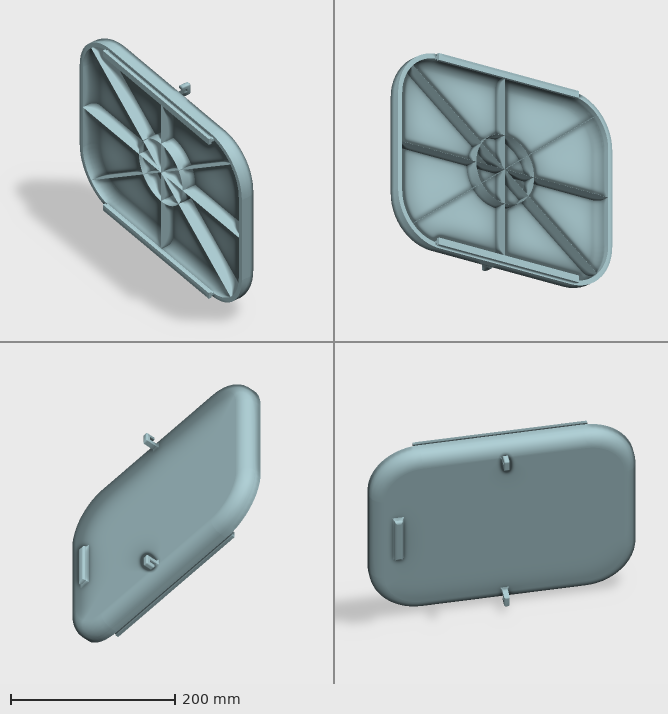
import cadquery as cq


WIDTH = 330.2
HEIGHT = 252.0
DEPTH = 25.5
WALL = 6.3
CORNER_RADIUS = 63.5
BACK_RADIUS = 16.2

RIB_THICKNESS = 0.1
RIB_ANGLES = (0, 36, 90, 144)
RING_RADIUS = 44.5

RAIL_LENGTH = 216.0
RAIL_STEM_LENGTH = 3.5
RAIL_STEM_THICKNESS = 4.0
RAIL_HEAD_THICKNESS = 4.0
RAIL_HEAD_HEIGHT = 9.0
RAIL_INSET = 6.0

HOOK_WIDTH = 7.0
HOOK_BAR = 5.0
HOOK_GAP = 5.0
HOOK_LIP = 13.0
HOOK_REACH = 17.8
HOOK_INSET = 6.3
HOOK_ROUNDING = 2.0

PAD_X = 131.7
PAD_WIDTH = 10.0
PAD_HEIGHT = 62.7
PAD_DEPTH = 7.0
PAD_ROUNDING = 3.3

HOOK_FLARE = 2.0
PAD_FLARE = 2.5
FOOT_SINK = 0.5


def box_between(x_range, y_range, z_range):
    """Axis-aligned box spanning the given (low, high) ranges."""
    sizes = [high - low for low, high in (x_range, y_range, z_range)]
    lows = (x_range[0], y_range[0], z_range[0])
    return cq.Workplane("XY").box(*sizes, centered=False).translate(lows)


def rounded_dish(inset):
    """Solid dish set in from the outer surface by the given distance on the sides and back."""
    return (
        cq.Workplane("XZ")
        .rect(WIDTH - 2 * inset, HEIGHT - 2 * inset)
        .extrude(-(DEPTH - inset))
        .edges("|Y")
        .fillet(CORNER_RADIUS - inset)
        .faces(">Y")
        .edges()
        .fillet(BACK_RADIUS - inset)
    )


def stiffeners(cavity):
    """Crossing ribs and a central ring, as deep as the cavity and flush with the rim."""
    ribs = (
        cq.Workplane("XZ")
        .circle(RING_RADIUS + RIB_THICKNESS / 2)
        .circle(RING_RADIUS - RIB_THICKNESS / 2)
        .extrude(-DEPTH)
    )
    for angle in RIB_ANGLES:
        rib = cq.Workplane("XZ").rect(2 * WIDTH, RIB_THICKNESS).extrude(-DEPTH)
        rib = rib.rotate((0, 0, 0), (0, 1, 0), angle)
        ribs = ribs.union(rib)
    return ribs.intersect(cavity)


def flared_foot(x, z, width, height, flare):
    """Foot widening at 45 degrees from a fitting's width and height down into the back."""
    rise = flare + FOOT_SINK
    base = cq.Plane(origin=(x, DEPTH - FOOT_SINK, z), xDir=(-1, 0, 0), normal=(0, 1, 0))
    return cq.Workplane(base).rect(width + 2 * rise, height + 2 * rise).extrude(rise, taper=45)


def top_rail():
    """T-shaped rail projecting from the rim along the top edge."""
    centre_z = HEIGHT / 2 - RAIL_INSET
    half_length = RAIL_LENGTH / 2
    half_stem = RAIL_STEM_THICKNESS / 2
    half_head = RAIL_HEAD_HEIGHT / 2
    head_front = -(RAIL_STEM_LENGTH + RAIL_HEAD_THICKNESS)
    x_range = (-half_length, half_length)
    stem = box_between(x_range, (-RAIL_STEM_LENGTH, 0), (centre_z - half_stem, centre_z + half_stem))
    head = box_between(x_range, (head_front, -RAIL_STEM_LENGTH), (centre_z - half_head, centre_z + half_head))
    return stem.union(head)


def top_hook():
    """Hook on the back whose lip points forward above the post."""
    lip_top = HEIGHT / 2 - HOOK_INSET
    lip_bottom = lip_top - HOOK_BAR
    post_top = lip_bottom - HOOK_GAP
    post_bottom = post_top - HOOK_BAR
    back = DEPTH + HOOK_REACH
    hook = (
        cq.Workplane("YZ")
        .moveTo(DEPTH, post_bottom)
        .lineTo(back, post_bottom)
        .lineTo(back, lip_top)
        .lineTo(back - HOOK_LIP, lip_top)
        .lineTo(back - HOOK_LIP, lip_bottom)
        .lineTo(back - HOOK_BAR, lip_bottom)
        .lineTo(back - HOOK_BAR, post_top)
        .lineTo(DEPTH, post_top)
        .close()
        .extrude(HOOK_WIDTH / 2, both=True)
    )
    hook = hook.faces(">Y or >Z").edges().fillet(HOOK_ROUNDING)
    return hook.union(flared_foot(0, (post_top + post_bottom) / 2, HOOK_WIDTH, HOOK_BAR, HOOK_FLARE))


def pad():
    """Upright pad on the back with rounded outer edges."""
    block = box_between(
        (PAD_X - PAD_WIDTH / 2, PAD_X + PAD_WIDTH / 2),
        (DEPTH, DEPTH + PAD_DEPTH),
        (-PAD_HEIGHT / 2, PAD_HEIGHT / 2),
    )
    block = block.faces(">Y").edges().fillet(PAD_ROUNDING)
    return block.union(flared_foot(PAD_X, 0, PAD_WIDTH, PAD_HEIGHT, PAD_FLARE))


def with_mirror(solid):
    """The solid together with its mirror image in the XY plane."""
    return solid.union(solid.mirror("XY"))


lid = rounded_dish(0).union(with_mirror(top_hook())).union(pad())
cavity = rounded_dish(WALL)
lid = lid.cut(cavity).union(stiffeners(cavity))
result = lid.union(with_mirror(top_rail()))